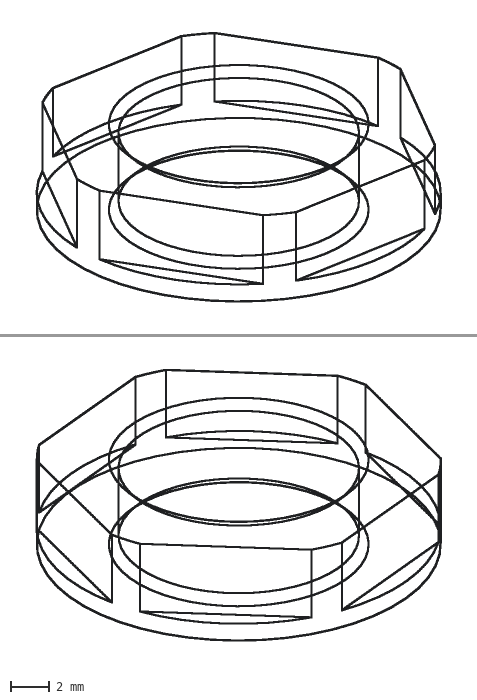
import cadquery as cq

flange_diameter = 21.0
flange_thickness = 1.0
total_height = 5.0
across_flats = 19.0
bore_diameter = 12.5
bore_chamfer = 0.5

HEX_SIDES = 6
flat_angle = 360.0 / HEX_SIDES
flat_cut_depth = (flange_diameter - across_flats) / 2
hex_height = total_height - flange_thickness


def round_blank():
    """Full-height disc; its rim forms the flange and the rounded hex corners."""
    return cq.Workplane("XY").circle(flange_diameter / 2).extrude(total_height)


def flat_cutter(angle):
    """Block that removes one wrench flat above the flange."""
    return (
        cq.Workplane("XY")
        .box(flat_cut_depth, flange_diameter, hex_height, centered=(False, True, False))
        .translate((across_flats / 2, 0, flange_thickness))
        .rotate((0, 0, 0), (0, 0, 1), angle)
    )


def cut_wrench_flats(body):
    """Cut the six flats, with one pair facing +X and -X."""
    for side in range(HEX_SIDES):
        body = body.cut(flat_cutter(side * flat_angle))
    return body


def cut_bore(body):
    """Through bore with an equal chamfer at both mouths."""
    bore_radius = bore_diameter / 2
    mouth_radius = bore_radius + bore_chamfer
    bore = (
        cq.Workplane("XZ")
        .moveTo(0, 0)
        .lineTo(mouth_radius, 0)
        .lineTo(bore_radius, bore_chamfer)
        .lineTo(bore_radius, total_height - bore_chamfer)
        .lineTo(mouth_radius, total_height)
        .lineTo(0, total_height)
        .close()
        .revolve(360, (0, 0, 0), (0, 1, 0))
    )
    return body.cut(bore)


result = cut_bore(cut_wrench_flats(round_blank()))